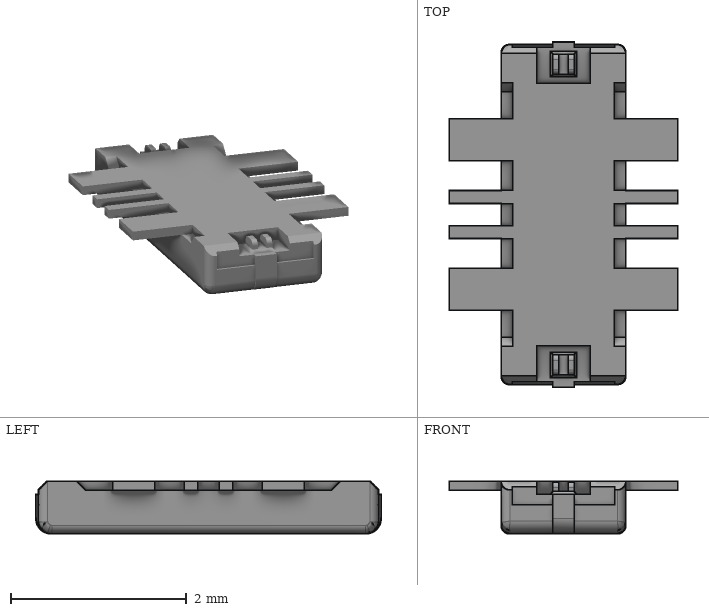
import cadquery as cq

BODY_WIDTH = 1.42
STRAP_SPAN = 3.93
STRAP_PROTRUSION = 0.03
BODY_LENGTH = STRAP_SPAN - 2 * STRAP_PROTRUSION
HEIGHT = 0.6
LEAD_SPAN = 2.6

CORNER_RADIUS = 0.1
SIDE_BOTTOM_RADIUS = 0.1
END_BOTTOM_RADIUS = 0.15
END_CHAMFER = 0.1

LEAD_THICKNESS = 0.105
NOTCH_LENGTH = 3.0
NOTCH_DEPTH_X = 0.13

WIDE_LEAD = (0.85, 0.48)
NARROW_LEAD = (0.2, 0.15)

RECESS_WIDTH = 1.17
RECESS_DEPTH = 0.035
RECESS_FLOOR_Z = -0.27

POCKET_WIDTH = 0.61
POCKET_LENGTH = 0.44
POCKET_DEPTH = 0.15
BOSS_END_DISTANCE = 0.225
BOSS_WIDTH = 0.3
BOSS_LENGTH = 0.29
BOSS_HEIGHT = 0.035
BOSS_SLOPE_RUN = 0.03
BOSS_TOP_WIDTH = BOSS_WIDTH - 2 * BOSS_SLOPE_RUN
BOSS_TOP_LENGTH = BOSS_LENGTH - 2 * BOSS_SLOPE_RUN
RIDGE_TOP_Z = -0.01
RIDGE_GAP = 0.11
RIDGE_END_RADIUS = 0.06

STRAP_WIDTH = 0.25
STRAP_BOTTOM_RADIUS = END_BOTTOM_RADIUS + STRAP_PROTRUSION

END_Y = BODY_LENGTH / 2
BOSS_Y = END_Y - BOSS_END_DISTANCE


def box(x_size, y_range, z_range, x_centre=0):
    """Box centred on x_centre that spans the given Y and Z ranges."""
    y_low, y_high = y_range
    z_low, z_high = z_range
    return (
        cq.Workplane("XY")
        .box(x_size, y_high - y_low, z_high - z_low, centered=(True, False, False))
        .translate((x_centre, y_low, z_low))
    )


def on_both_ends(feature):
    """The feature of the +Y end together with its mirror image at the -Y end."""
    return feature.union(feature.mirror("XZ"))


def make_end_profile():
    """Lengthwise profile with rounded bottom ends and chamfered top ends."""
    profile = box(BODY_WIDTH, (-END_Y, END_Y), (-HEIGHT, 0))
    profile = profile.edges("|X and <Z").fillet(END_BOTTOM_RADIUS)
    return profile.edges("|X and >Z").chamfer(END_CHAMFER)


def make_body():
    """Block with rounded corners and bottom edges, chamfered along its top ends."""
    body = box(BODY_WIDTH, (-END_Y, END_Y), (-HEIGHT, 0))
    body = body.edges("|Z").fillet(CORNER_RADIUS)
    body = body.intersect(make_end_profile())
    return body.faces("<X or >X").edges("<Z").fillet(SIDE_BOTTOM_RADIUS)


def make_side_notch():
    """Notch with sloped ends, cut into the +X top edge."""
    half = NOTCH_LENGTH / 2
    return (
        cq.Workplane("YZ", origin=(BODY_WIDTH / 2 - NOTCH_DEPTH_X, 0, 0))
        .moveTo(-half, 0)
        .lineTo(half, 0)
        .lineTo(half - LEAD_THICKNESS, -LEAD_THICKNESS)
        .lineTo(LEAD_THICKNESS - half, -LEAD_THICKNESS)
        .close()
        .extrude(NOTCH_DEPTH_X)
    )


def make_leads():
    """Flat leads crossing the part, flush with its top."""
    leads = cq.Workplane("XY")
    for centre, width in (WIDE_LEAD, NARROW_LEAD):
        lead = box(LEAD_SPAN, (centre - width / 2, centre + width / 2), (-LEAD_THICKNESS, 0))
        leads = leads.union(on_both_ends(lead))
    return leads


def make_end_recess():
    """Cut that sets back the upper part of the +Y end face."""
    return box(RECESS_WIDTH, (END_Y - RECESS_DEPTH, END_Y), (RECESS_FLOOR_Z, 0))


def make_pocket():
    """Pocket at the +Y end, open to the top and to the end face."""
    return box(POCKET_WIDTH, (END_Y - POCKET_LENGTH, END_Y), (-POCKET_DEPTH, 0))


def make_strap():
    """Strap on the +Y end, level with the pocket floor and rounded under the end."""
    strap = box(STRAP_WIDTH, (END_Y - POCKET_LENGTH, END_Y + STRAP_PROTRUSION), (-HEIGHT, -POCKET_DEPTH))
    return strap.edges("|X and >Y and <Z").fillet(STRAP_BOTTOM_RADIUS)


def make_boss():
    """Frustum on the pocket floor that carries two ridges with rounded ends."""
    boss = (
        cq.Workplane("XY", origin=(0, BOSS_Y, -POCKET_DEPTH))
        .rect(BOSS_WIDTH, BOSS_LENGTH)
        .workplane(offset=BOSS_HEIGHT)
        .rect(BOSS_TOP_WIDTH, BOSS_TOP_LENGTH)
        .loft(ruled=True)
    )
    ridge_width = (BOSS_TOP_WIDTH - RIDGE_GAP) / 2
    ridge_y = (BOSS_Y - BOSS_TOP_LENGTH / 2, BOSS_Y + BOSS_TOP_LENGTH / 2)
    for side in (-1, 1):
        ridge_x = side * (RIDGE_GAP + ridge_width) / 2
        ridge = box(ridge_width, ridge_y, (BOSS_HEIGHT - POCKET_DEPTH, RIDGE_TOP_Z), ridge_x)
        boss = boss.union(ridge.edges("|X and >Z").fillet(RIDGE_END_RADIUS))
    return boss


notch = make_side_notch()
result = (
    make_body()
    .cut(notch)
    .cut(notch.mirror("YZ"))
    .union(make_leads())
    .cut(on_both_ends(make_end_recess()))
    .cut(on_both_ends(make_pocket()))
    .union(on_both_ends(make_strap()))
    .union(on_both_ends(make_boss()))
)